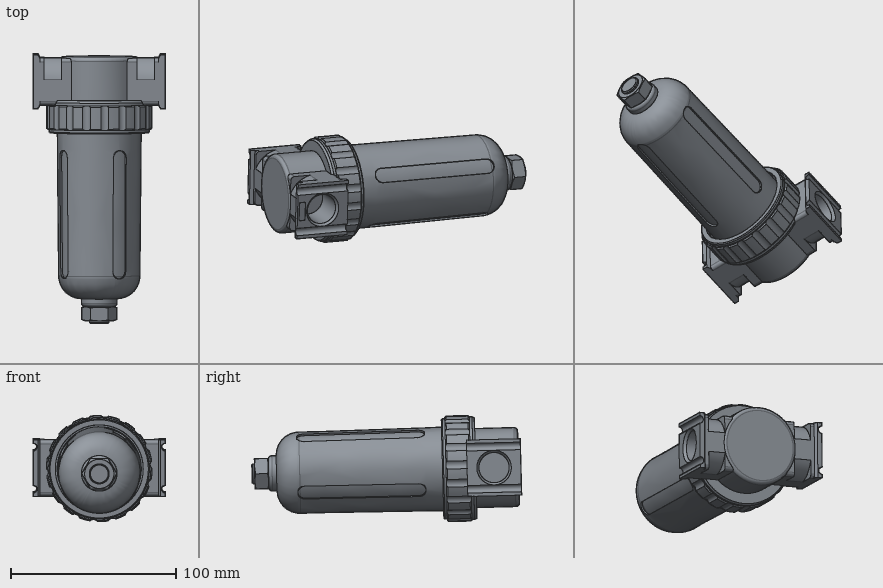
import cadquery as cq
import math

TILT = 1.5

HEAD_WIDTH = 80.0
HEAD_HEIGHT = 34.1
BLOCK_BACK = 2.1
BLOCK_FRONT = 30.5
HEAD_FILLET = 2.3
FLANGE_DEPTH = 32.7
FLANGE_RIM = 3.0
FLANGE_ROOT = 4.2
FLANGE_SLANT = 2.3
BARREL_BACK = 1.5
BARREL_RADIUS = 24.0
COLLAR_RADIUS = 31.2
COLLAR_BACK = 27.5
COLLAR_CHAMFER_DEPTH = 1.5
COLLAR_CHAMFER_WIDTH = 0.8

GROOVE_CENTRE = 12.7
GROOVE_RADIUS = 2.3

PORT_DEPTH = 16.3
PORT_MOUTH_RADIUS = 10.5
PORT_RADIUS = 9.1
PORT_MOUTH_DEPTH = 1.8
PORT_LENGTH = 22.9

NOTCH_END = 15.3
NECK_BACK = 1.0
NECK_RADIUS = 17.5
NECK_OFFSET = 28.1
NECK_WIDTH = 10.6

LABEL_DEPTH = 3.1
LABEL_WIDTH = 4.0
LABEL_LENGTH = 11.5
LABEL_FILLET = 0.8
LABEL_RECESS = 0.3

RING_RADIUS = 32.0
RING_END = 47.5
GRIP_END = 45.4
GRIP_CHAMFER = 0.8
RIM_RADIUS = 30.4
RIM_CHAMFER = 0.7
RING_MOUTH_RADIUS = 26.6
RING_LIP = 3.0
SCALLOP_COUNT = 18
SCALLOP_START = 4.0
SCALLOP_RADIUS = 3.3
SCALLOP_CUT = 1.1

SHOULDER_RADIUS = 27.8
SHOULDER_END = RING_END - RING_LIP
GUARD_TOP_RADIUS = 25.5
GUARD_BOTTOM_RADIUS = 24.7
GUARD_WALL = 1.1
DOME_START = 133.9
DOME_RADIUS = 14.0
SPOUT_RADIUS = 10.8
SPOUT_END = 152.7
SPOUT_FILLET = 2.1
WINDOW_COUNT = 4
WINDOW_FIRST_ANGLE = 60.0
WINDOW_WIDTH = 9.0
WINDOW_START = 57.8
WINDOW_END = 135.4

NUT_ACROSS_FLATS = 18.5
NUT_END = 161.1
NUT_CHAMFER_DEPTH = 0.7
NUT_CHAMFER_WIDTH = 1.8
STEM_RADIUS = 6.0
STEM_END = 162.8
STEM_CHAMFER = 0.7


def cylinder(radius, start, end):
    """Cylinder on the assembly axis between two depths."""
    return cq.Workplane("XZ", origin=(0, -start, 0)).circle(radius).extrude(end - start)


def revolved(profile):
    """Solid of revolution from a closed profile of radius against -depth."""
    return profile.close().revolve(360, (0, 0, 0), (0, 1, 0))


def x_cylinder(radius, centre_depth, x_start, length):
    """Cylinder along +X, centred on z = 0."""
    plane = cq.Workplane("YZ", origin=(x_start, -centre_depth, 0))
    return plane.circle(radius).extrude(length)


def block(x_size, y_size, z_size, x, depth, z=0):
    """Box centred at a given x, depth and z."""
    return cq.Workplane("XY").box(x_size, y_size, z_size).translate((x, -depth, z))


def make_flange():
    """Right-hand flange plate with slanted inner edges and two clamping grooves."""
    outer = HEAD_WIDTH / 2
    rim = outer - FLANGE_RIM
    root = outer - FLANGE_ROOT
    flange = (
        cq.Workplane("XY", origin=(0, 0, -HEAD_HEIGHT / 2))
        .moveTo(outer, 0)
        .lineTo(rim, 0)
        .lineTo(root, -FLANGE_SLANT)
        .lineTo(root, FLANGE_SLANT - FLANGE_DEPTH)
        .lineTo(rim, -FLANGE_DEPTH)
        .lineTo(outer, -FLANGE_DEPTH)
        .close()
        .extrude(HEAD_HEIGHT)
    )
    for side in (-1, 1):
        plane = cq.Workplane("XZ", origin=(outer, 0, side * GROOVE_CENTRE))
        flange = flange.cut(plane.circle(GROOVE_RADIUS).extrude(FLANGE_DEPTH))
    return flange


def make_notch(x):
    """Cutter that clears the block down to the rounded neck."""
    clearance = block(NECK_WIDTH, NOTCH_END, HEAD_HEIGHT, x, NOTCH_END / 2)
    neck = x_cylinder(NECK_RADIUS, NECK_BACK + NECK_RADIUS, x - NECK_WIDTH / 2, NECK_WIDTH)
    return clearance.cut(neck)


def make_port():
    """Cutter for the right-hand port: a blind bore with a chamfered mouth."""
    outer = HEAD_WIDTH / 2
    bore = x_cylinder(PORT_RADIUS, PORT_DEPTH, outer - PORT_LENGTH, PORT_LENGTH)
    mouth = cq.Solid.makeCone(
        PORT_MOUTH_RADIUS,
        PORT_RADIUS,
        PORT_MOUTH_DEPTH,
        pnt=cq.Vector(outer, -PORT_DEPTH, 0),
        dir=cq.Vector(-1, 0, 0),
    )
    return bore.union(cq.Workplane(mouth))


def make_collar():
    """Round collar that the ring closes against, with a long chamfer at the back."""
    return revolved(
        cq.Workplane("XY")
        .moveTo(0, -COLLAR_BACK)
        .lineTo(COLLAR_RADIUS - COLLAR_CHAMFER_WIDTH, -COLLAR_BACK)
        .lineTo(COLLAR_RADIUS, -COLLAR_BACK - COLLAR_CHAMFER_DEPTH)
        .lineTo(COLLAR_RADIUS, -BLOCK_FRONT)
        .lineTo(0, -BLOCK_FRONT)
    )


def make_head():
    """Head block with a central barrel, a collar, end flanges and two ports."""
    length = HEAD_WIDTH - 2 * FLANGE_RIM
    middle = (BLOCK_FRONT + BLOCK_BACK) / 2
    head = block(length, BLOCK_FRONT - BLOCK_BACK, HEAD_HEIGHT, 0, middle)
    head = head.edges("|X").fillet(HEAD_FILLET)
    barrel = cylinder(BARREL_RADIUS, BARREL_BACK, BLOCK_FRONT).faces(">Y").edges().fillet(HEAD_FILLET)
    flange = make_flange()
    head = head.union(barrel).union(make_collar()).union(flange).union(flange.mirror("YZ"))
    for side in (-1, 1):
        head = head.cut(make_notch(side * NECK_OFFSET))
    port = make_port()
    head = head.cut(port).cut(port.mirror("YZ"))
    label = block(2 * LABEL_RECESS, LABEL_WIDTH, LABEL_LENGTH, -HEAD_WIDTH / 2, LABEL_DEPTH)
    return head.cut(label.edges("|X").fillet(LABEL_FILLET))


def make_ring():
    """Threaded ring with a scalloped grip, a front rim and a lip that holds the guard."""
    grip = cylinder(RING_RADIUS, BLOCK_FRONT, GRIP_END).edges().chamfer(GRIP_CHAMFER)
    rim = cylinder(RIM_RADIUS, GRIP_END, RING_END).faces("<Y").edges().chamfer(RIM_CHAMFER)
    ring = grip.union(rim)
    scallop_distance = RING_RADIUS - SCALLOP_CUT + SCALLOP_RADIUS
    for index in range(SCALLOP_COUNT):
        angle = math.radians(SCALLOP_START + index * 360 / SCALLOP_COUNT)
        centre = (scallop_distance * math.cos(angle), scallop_distance * math.sin(angle))
        scallop = (
            cq.Workplane("XZ", origin=(0, -BLOCK_FRONT, 0))
            .center(*centre)
            .circle(SCALLOP_RADIUS)
            .extrude(GRIP_END - BLOCK_FRONT)
        )
        ring = ring.cut(scallop)
    ring = ring.cut(cylinder(SHOULDER_RADIUS, BLOCK_FRONT, SHOULDER_END))
    return ring.cut(cylinder(RING_MOUTH_RADIUS, SHOULDER_END, RING_END))


def dome_outline(profile, inset):
    """Continue a profile down the tapered wall and round the dome, moved inward by an inset."""
    radius = DOME_RADIUS - inset
    centre = GUARD_BOTTOM_RADIUS - DOME_RADIUS
    diagonal = radius * math.sqrt(0.5)
    return profile.lineTo(centre + radius, -DOME_START).threePointArc(
        (centre + diagonal, -DOME_START - diagonal), (centre, -DOME_START - radius)
    )


def make_bowl():
    """Bowl that fills the inside of the guard."""
    profile = cq.Workplane("XY").moveTo(0, -BLOCK_FRONT)
    profile = profile.lineTo(GUARD_TOP_RADIUS - GUARD_WALL, -BLOCK_FRONT)
    return revolved(dome_outline(profile, GUARD_WALL).lineTo(0, GUARD_WALL - DOME_START - DOME_RADIUS))


def make_guard(bowl):
    """Tapered guard with a shoulder held by the ring, four windows and a spout."""
    profile = (
        cq.Workplane("XY")
        .moveTo(0, -BLOCK_FRONT)
        .lineTo(SHOULDER_RADIUS, -BLOCK_FRONT)
        .lineTo(SHOULDER_RADIUS, -SHOULDER_END)
        .lineTo(GUARD_TOP_RADIUS, -SHOULDER_END)
    )
    guard = revolved(dome_outline(profile, 0).lineTo(0, -DOME_START - DOME_RADIUS))
    spout = cylinder(SPOUT_RADIUS, DOME_START, SPOUT_END).faces("<Y").edges().fillet(SPOUT_FILLET)
    guard = guard.union(spout)
    window_length = WINDOW_END - WINDOW_START
    window = (
        cq.Workplane("XY", origin=(0, -(WINDOW_START + WINDOW_END) / 2, 0))
        .slot2D(window_length, WINDOW_WIDTH, 90)
        .extrude(RING_RADIUS)
    )
    for index in range(WINDOW_COUNT):
        angle = WINDOW_FIRST_ANGLE + index * 360 / WINDOW_COUNT
        guard = guard.cut(window.rotate((0, 0, 0), (0, 1, 0), 90 - angle))
    return guard.cut(bowl)


def make_nut():
    """Hexagonal drain nut with chamfered corners around the stem."""
    corner_diameter = NUT_ACROSS_FLATS / math.cos(math.pi / 6)
    nut = (
        cq.Workplane("XZ", origin=(0, -SPOUT_END, 0))
        .polygon(6, corner_diameter)
        .extrude(NUT_END - SPOUT_END)
    )
    rounding = cylinder(corner_diameter / 2, SPOUT_END, NUT_END).faces("<Y or >Y")
    rounding = rounding.chamfer(NUT_CHAMFER_DEPTH, NUT_CHAMFER_WIDTH)
    return nut.intersect(rounding).cut(cylinder(STEM_RADIUS, SPOUT_END, NUT_END))


def make_stem():
    """Drain stem that passes through the nut."""
    return cylinder(STEM_RADIUS, SPOUT_END, STEM_END).faces("<Y").edges().chamfer(STEM_CHAMFER)


head = make_head()
ring = make_ring()
bowl = make_bowl()
guard = make_guard(bowl)
nut = make_nut()
stem = make_stem()

bodies = [head, ring, guard, bowl, nut, stem]
result = cq.Compound.makeCompound([body.rotate((0, 0, 0), (1, 0, 0), TILT).val() for body in bodies])